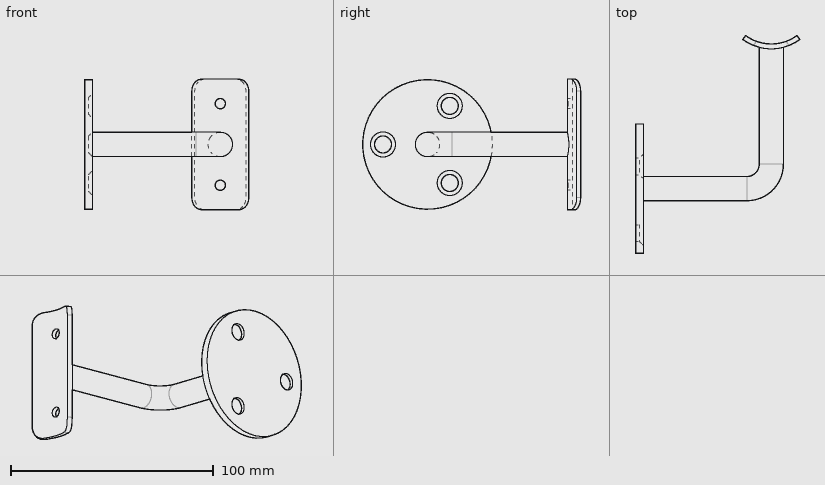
import cadquery as cq
import math

disc_diameter = 64.0
disc_thickness = 4.0
screw_hole_diameter = 8.3
countersink_diameter = 12.4
countersink_angle = 90
screw_circle_radius = 22.0
screw_hole_count = 3

rod_diameter = 12.0
bend_radius = 12.0
arm_reach = 66.9

saddle_height = 64.5
saddle_width = 28.2
saddle_inner_radius = 21.2
saddle_thickness = 2.5
saddle_corner_radius = 6.0
saddle_hole_diameter = 5.0
saddle_hole_spacing = 40.2

overall_depth = 107.6

saddle_outer_radius = saddle_inner_radius + saddle_thickness
saddle_half_angle = math.asin(saddle_width / 2 / saddle_outer_radius)
saddle_tip_y = overall_depth - disc_diameter / 2
saddle_axis_y = saddle_tip_y + saddle_inner_radius * math.cos(saddle_half_angle)


def make_disc():
    first_hole_angle = 180
    return (
        cq.Workplane("YZ")
        .circle(disc_diameter / 2)
        .extrude(disc_thickness)
        .faces(">X")
        .workplane()
        .polarArray(screw_circle_radius, first_hole_angle, 360, screw_hole_count)
        .cskHole(screw_hole_diameter, countersink_diameter, countersink_angle)
    )


def make_arm():
    """Sweep the rod from the disc, round the bend and into the saddle wall."""
    path = (
        cq.Workplane("XY")
        .moveTo(disc_thickness / 2, 0)
        .lineTo(arm_reach - bend_radius, 0)
        .tangentArcPoint((arm_reach, bend_radius), relative=False)
        .lineTo(arm_reach, saddle_axis_y)
    )
    rod = (
        cq.Workplane("YZ", origin=(disc_thickness / 2, 0, 0))
        .circle(rod_diameter / 2)
        .sweep(path)
    )
    rail_space = (
        cq.Workplane("XY", origin=(arm_reach, saddle_axis_y, 0))
        .circle(saddle_inner_radius + saddle_thickness / 2)
        .extrude(saddle_height / 2, both=True)
    )
    return rod.cut(rail_space)


def saddle_point(radius, angle):
    """Point about the saddle axis, with the angle measured from -Y."""
    return (
        arm_reach + radius * math.sin(angle),
        saddle_axis_y - radius * math.cos(angle),
    )


def make_saddle():
    plate = (
        cq.Workplane("XY")
        .moveTo(*saddle_point(saddle_outer_radius, -saddle_half_angle))
        .threePointArc(
            saddle_point(saddle_outer_radius, 0),
            saddle_point(saddle_outer_radius, saddle_half_angle),
        )
        .lineTo(*saddle_point(saddle_inner_radius, saddle_half_angle))
        .threePointArc(
            saddle_point(saddle_inner_radius, 0),
            saddle_point(saddle_inner_radius, -saddle_half_angle),
        )
        .close()
        .extrude(saddle_height / 2, both=True)
    )
    plate = plate.faces("<Z or >Z").edges("%LINE").fillet(saddle_corner_radius)
    holes = (
        cq.Workplane("XZ", origin=(arm_reach, saddle_axis_y, 0))
        .rarray(1.1, saddle_hole_spacing, 1, 2)
        .circle(saddle_hole_diameter / 2)
        .extrude(saddle_outer_radius + saddle_thickness)
    )
    return plate.cut(holes)


result = make_disc().union(make_arm()).union(make_saddle())